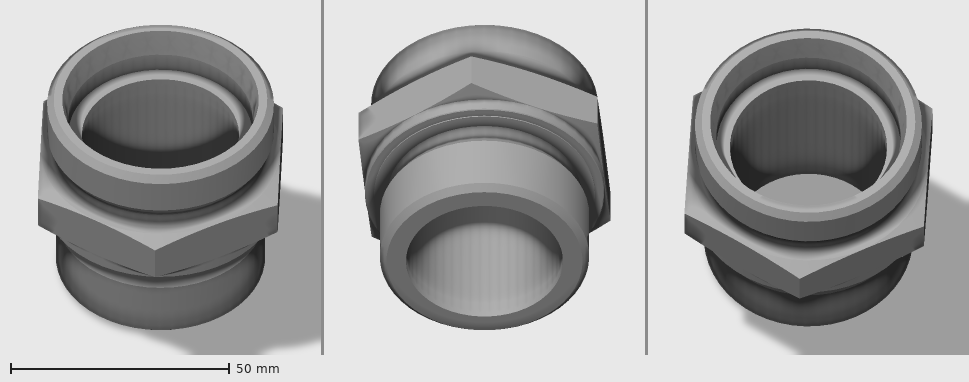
import cadquery as cq
import math

total_height = 52.0
bore_diameter = 36.0
end_chamfer = 1.5
undercut_fillet = 1.0
undercut_angle = 30.0

stud_diameter = 48.0
stud_neck_diameter = 44.5
stud_thread_top = 15.1

hex_across_corners = 63.5
hex_across_flats = hex_across_corners * math.cos(math.pi / 6)
flange_diameter = 54.9
flange_bottom = 21.85
flange_edge_chamfer = 0.2
hex_bottom = 25.0
hex_top = 35.95
hex_chamfer_angle = 15.0

collar_diameter = 52.0
collar_neck_diameter = 49.0
collar_bottom = 42.0

socket_mouth_diameter = 45.0
socket_diameter = 42.3
socket_cone_depth = 6.35
socket_depth = 11.2

ring_diameter = 50.7
ring_protrusion = 0.25
ring_recess_depth = 1.5


def cone_height(large_diameter, small_diameter):
    """Axial length of an undercut cone between two diameters."""
    return (large_diameter - small_diameter) / 2 / math.tan(math.radians(undercut_angle))


def disc(diameter, bottom, top):
    return cq.Workplane("XY").workplane(offset=bottom).circle(diameter / 2).extrude(top - bottom)


def frustum(bottom_diameter, top_diameter, bottom, top):
    return cq.Workplane("XY").add(
        cq.Solid.makeCone(bottom_diameter / 2, top_diameter / 2, top - bottom, cq.Vector(0, 0, bottom))
    )


def circle_edges(body, diameter, height):
    """Select the circular edge of a given diameter at a given height."""
    margin = 0.005
    reach = diameter / 2 + margin
    return body.edges(
        cq.selectors.BoxSelector(
            (-reach, -reach, height - margin), (reach, reach, height + margin), boundingbox=True
        )
    )


def make_stud():
    """Lower stud: chamfered end, thread cylinder, runout cone and filleted neck."""
    cone_top = stud_thread_top + cone_height(stud_diameter, stud_neck_diameter)
    thread = disc(stud_diameter, 0, stud_thread_top).faces("<Z").edges().chamfer(end_chamfer)
    cone = frustum(stud_diameter, stud_neck_diameter, stud_thread_top, cone_top)
    neck = disc(stud_neck_diameter, cone_top, hex_bottom)
    stud = thread.union(cone).union(neck)
    return circle_edges(stud, stud_neck_diameter, cone_top).fillet(undercut_fillet)


def make_collar():
    """Upper end: neck with a fillet on the hexagon, runout cone and chamfered collar."""
    cone_bottom = collar_bottom - cone_height(collar_diameter, collar_neck_diameter)
    foot = disc(flange_diameter, hex_bottom, hex_top)
    neck = disc(collar_neck_diameter, hex_top, cone_bottom)
    cone = frustum(collar_neck_diameter, collar_diameter, cone_bottom, collar_bottom)
    collar = disc(collar_diameter, collar_bottom, total_height).faces(">Z").edges().chamfer(end_chamfer)
    upper = foot.union(neck).union(cone).union(collar)
    for height in (hex_top, cone_bottom):
        upper = circle_edges(upper, collar_neck_diameter, height).fillet(undercut_fillet)
    return upper


def make_hexagon():
    """Hexagon with two flats facing X and conical chamfers on its corners."""
    hexagon = (
        cq.Workplane("XY")
        .workplane(offset=hex_bottom)
        .transformed(rotate=(0, 0, 90))
        .polygon(6, hex_across_corners)
        .extrude(hex_top - hex_bottom)
    )
    corner_radius = hex_across_corners / 2
    flange_radius = flange_diameter / 2
    drop = (corner_radius - flange_radius) * math.tan(math.radians(hex_chamfer_angle))
    envelope = (
        cq.Workplane("XZ")
        .moveTo(0, hex_bottom)
        .lineTo(flange_radius, hex_bottom)
        .lineTo(corner_radius, hex_bottom + drop)
        .lineTo(corner_radius, hex_top - drop)
        .lineTo(flange_radius, hex_top)
        .lineTo(0, hex_top)
        .close()
        .revolve(360, (0, 0), (0, 1))
    )
    return hexagon.intersect(envelope)


def make_flange():
    flange = disc(flange_diameter, flange_bottom, hex_bottom)
    return flange.faces("<Z").edges().chamfer(flange_edge_chamfer)


def make_socket():
    """Cutter for the tapered mouth, the counterbore and the through bore."""
    cone_bottom = total_height - socket_cone_depth
    mouth = frustum(socket_diameter, socket_mouth_diameter, cone_bottom, total_height)
    counterbore = disc(socket_diameter, total_height - socket_depth, cone_bottom)
    bore = disc(bore_diameter, 0, total_height)
    return bore.union(counterbore).union(mouth)


def make_sealing_ring():
    """Flat ring around the stud neck, set into the underside of the flange."""
    ring_bottom = flange_bottom - ring_protrusion
    ring_top = flange_bottom + ring_recess_depth
    blank = disc(ring_diameter, ring_bottom, ring_top)
    return blank.cut(disc(stud_neck_diameter, ring_bottom, ring_top))


sealing_ring = make_sealing_ring()
outside = make_stud().union(make_flange()).union(make_hexagon()).union(make_collar())
fitting = outside.cut(make_socket()).cut(sealing_ring)

result = cq.Compound.makeCompound([fitting.val(), sealing_ring.val()])